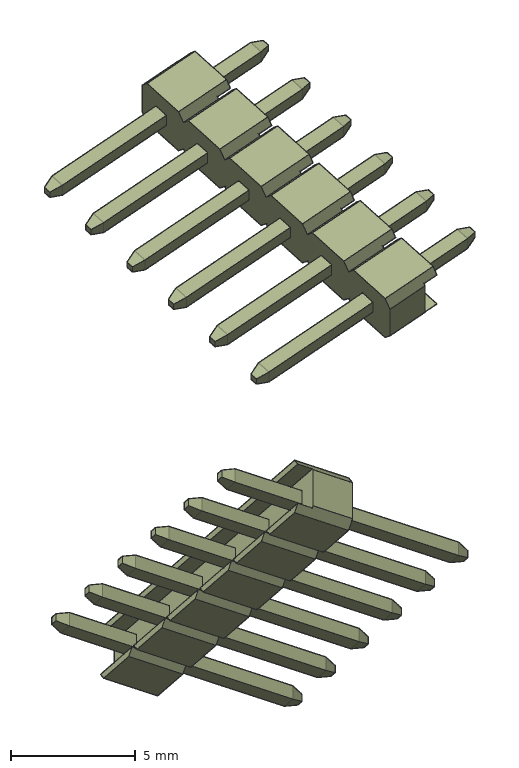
import cadquery as cq

pin_count = 6
length = 15.24
pitch = length / pin_count
height = 2.5
depth = 2.55
chamfer_x = 0.3
chamfer_z = 0.4

lip_thickness = 0.32
channel_depth = 0.69

pin_length = 11.6
pin_front_reach = 6.05
pin_width = 0.64
pin_offset_x = -0.099
tip_width = 0.34
tip_length = 0.53


def block_center_x(index):
    return (index + 0.5) * pitch - length / 2


def make_housing():
    """Chamfered blocks side by side, front face at Y = 0, extending toward +Y."""
    half_pitch = pitch / 2
    half_height = height / 2
    flat_x = half_pitch - chamfer_x
    side_z = half_height - chamfer_z
    block = (
        cq.Workplane("XZ")
        .moveTo(-half_pitch, -side_z)
        .lineTo(-flat_x, -half_height)
        .lineTo(flat_x, -half_height)
        .lineTo(half_pitch, -side_z)
        .lineTo(half_pitch, side_z)
        .lineTo(flat_x, half_height)
        .lineTo(-flat_x, half_height)
        .lineTo(-half_pitch, side_z)
        .close()
        .extrude(-depth)
    )
    housing = block.translate((block_center_x(0), 0, 0))
    for index in range(1, pin_count):
        housing = housing.union(block.translate((block_center_x(index), 0, 0)))

    channel = (
        cq.Workplane("XY")
        .box(length, channel_depth, height - 2 * lip_thickness)
        .translate((0, depth - channel_depth / 2, 0))
    )
    return housing.cut(channel)


def make_tip(base_y, direction):
    """Tapered tip starting at base_y, pointing along +Y (1) or -Y (-1)."""
    return (
        cq.Workplane("XZ", origin=(0, base_y, 0))
        .rect(pin_width, pin_width)
        .workplane(offset=-direction * tip_length)
        .rect(tip_width, tip_width)
        .loft(ruled=True)
    )


def make_pin():
    """Square bar along Y with a tapered tip at each end."""
    shank_front_y = tip_length - pin_front_reach
    shank_back_y = pin_length - pin_front_reach - tip_length
    shank = (
        cq.Workplane("XZ", origin=(0, shank_front_y, 0))
        .rect(pin_width, pin_width)
        .extrude(shank_front_y - shank_back_y)
    )
    return shank.union(make_tip(shank_front_y, -1)).union(make_tip(shank_back_y, 1))


result = make_housing()
pin = make_pin()
for pin_index in range(pin_count):
    result = result.union(pin.translate((block_center_x(pin_index) + pin_offset_x, 0, 0)))